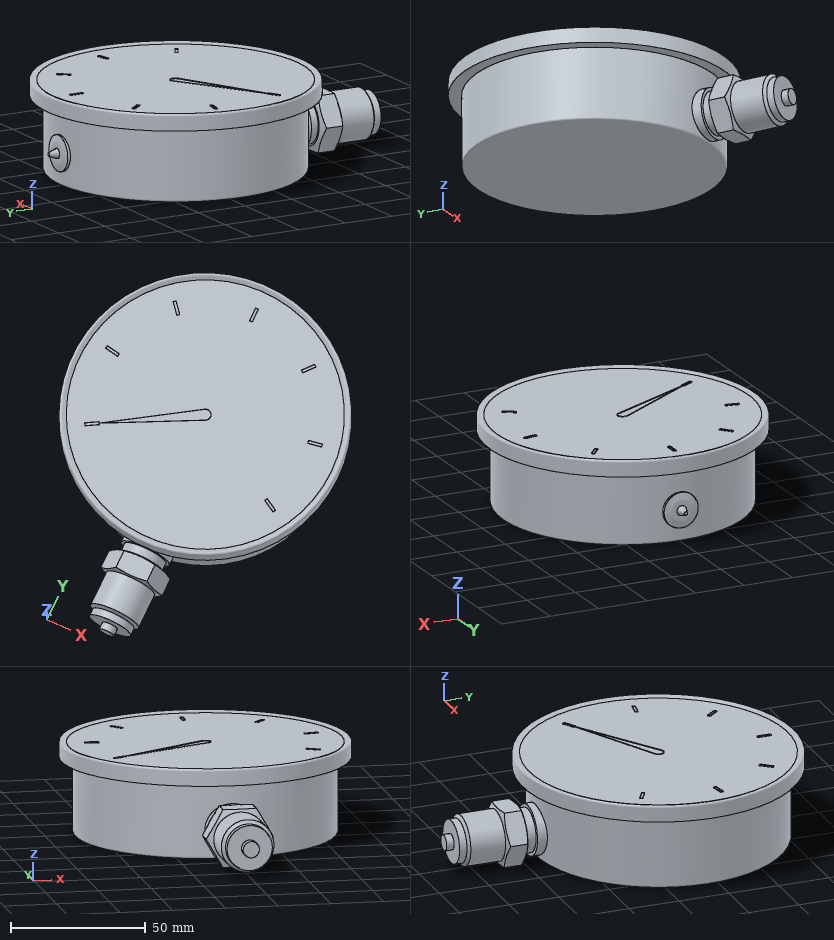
import cadquery as cq
import math

bezel_radius = 54.5
case_radius = 49.5
case_height = 35.3
bezel_bottom = 28.8
lip_round = 1.0
case_bottom_round = 0.8

dial_radius = 51.7
lip_slope = math.radians(30)
lip_crest_radius = bezel_radius - lip_round
slope_start_radius = lip_crest_radius - lip_round * math.sin(lip_slope)
slope_start_z = case_height - lip_round * (1 - math.cos(lip_slope))
dial_z = slope_start_z - (slope_start_radius - dial_radius) * math.tan(lip_slope)

engraving_depth = 0.3
mark_count = 7
mark_step = 40
first_mark_angle = -30
mark_inner_radius = 39.6
mark_outer_radius = 45
mark_width = 1.1
pointer_hub_radius = 2.1
pointer_angle = 210

hex_across_flats = 22.0
hex_corner_radius = hex_across_flats / math.sqrt(3)
connector_z = hex_across_flats / 2
thread_radius = 10.0
neck_radius = 8.6
tip_radius = 3.1
hex_back_radius = 9.3
hex_back_bevel = 1.3
hex_front_bevel = 1.0

boss_end = 52.4
hex_start = 56.0
hex_end = 65.2
thread_bevel_start = 79.1
thread_end = 80.1
spigot_end = 83.0
connector_end = 86.0

plug_z = 12.5
plug_radius = 7
plug_seat = 48.5
plug_rim_end = 50.2
plug_crown_radius = 4.2
plug_crown_end = 50.7
nipple_radius = 2.0
nipple_tip_radius = 0.7
plug_end = 54.2


def turned_along_y(points, axis_z):
    """Revolve an outline of (radius, y) points about the line x = 0, z = axis_z."""
    outline = cq.Workplane("XY").polyline(points).close()
    return outline.revolve(360, (0, 0, 0), (0, 1, 0)).translate((0, 0, axis_z))


def make_plug():
    return turned_along_y(
        [
            (0, plug_seat),
            (plug_radius, plug_seat),
            (plug_radius, plug_rim_end),
            (plug_crown_radius, plug_crown_end),
            (nipple_radius, plug_crown_end),
            (nipple_tip_radius, plug_end),
            (0, plug_end),
        ],
        plug_z,
    )


def make_bezel():
    """Ring and dial floor: the lip rounds over its crest and slopes straight down to the dial."""
    return (
        cq.Workplane("XZ")
        .moveTo(0, bezel_bottom)
        .lineTo(bezel_radius, bezel_bottom)
        .lineTo(bezel_radius, case_height - lip_round)
        .threePointArc((lip_crest_radius, case_height), (slope_start_radius, slope_start_z))
        .lineTo(dial_radius, dial_z)
        .lineTo(0, dial_z)
        .close()
        .revolve(360, (0, 0, 0), (0, 1, 0))
    )


def make_mark(angle):
    length = mark_outer_radius - mark_inner_radius
    middle = (mark_inner_radius + mark_outer_radius) / 2
    mark = cq.Workplane("XY").box(length, mark_width, engraving_depth, centered=(True, True, False))
    return mark.translate((middle, 0, dial_z - engraving_depth)).rotate((0, 0, 0), (0, 0, 1), angle)


def make_pointer():
    """Teardrop: a round hub with two tangent lines that meet where the marks begin."""
    tangent_x = pointer_hub_radius**2 / mark_inner_radius
    tangent_y = math.sqrt(pointer_hub_radius**2 - tangent_x**2)
    return (
        cq.Workplane("XY")
        .moveTo(mark_inner_radius, 0)
        .lineTo(tangent_x, tangent_y)
        .threePointArc((-pointer_hub_radius, 0), (tangent_x, -tangent_y))
        .close()
        .extrude(engraving_depth)
        .translate((0, 0, dial_z - engraving_depth))
        .rotate((0, 0, 0), (0, 0, 1), pointer_angle)
    )


def make_case(plug):
    drum = cq.Workplane("XY").circle(case_radius).extrude(bezel_bottom)
    drum = drum.faces("<Z").edges().fillet(case_bottom_round)
    boss = cq.Workplane("XZ", origin=(0, 0, connector_z)).circle(thread_radius).extrude(boss_end)
    case = drum.union(make_bezel()).union(boss)
    for index in range(mark_count):
        case = case.cut(make_mark(first_mark_angle + index * mark_step))
    return case.cut(make_pointer()).cut(plug)


def make_hexagon():
    """Hexagon with flats facing up and down, its corners bevelled at both ends."""
    blank = (
        cq.Workplane("XZ", origin=(0, -hex_start, connector_z))
        .polygon(6, 2 * hex_corner_radius)
        .extrude(hex_end - hex_start)
    )
    bevels = turned_along_y(
        [
            (0, -hex_start),
            (hex_back_radius, -hex_start),
            (hex_corner_radius, -hex_start - hex_back_bevel),
            (hex_corner_radius, -hex_end + hex_front_bevel),
            (thread_radius, -hex_end),
            (0, -hex_end),
        ],
        connector_z,
    )
    return blank.intersect(bevels)


def make_connector():
    neck = turned_along_y(
        [(0, -boss_end), (neck_radius, -boss_end), (neck_radius, -hex_start), (0, -hex_start)],
        connector_z,
    )
    stem = turned_along_y(
        [
            (0, -hex_end),
            (thread_radius, -hex_end),
            (thread_radius, -thread_bevel_start),
            (neck_radius, -thread_end),
            (neck_radius, -spigot_end),
            (tip_radius, -spigot_end),
            (tip_radius, -connector_end),
            (0, -connector_end),
        ],
        connector_z,
    )
    return make_hexagon().union(neck).union(stem)


plug = make_plug()
case = make_case(plug)
connector = make_connector()

result = cq.Compound.makeCompound([case.val(), connector.val(), plug.val()])